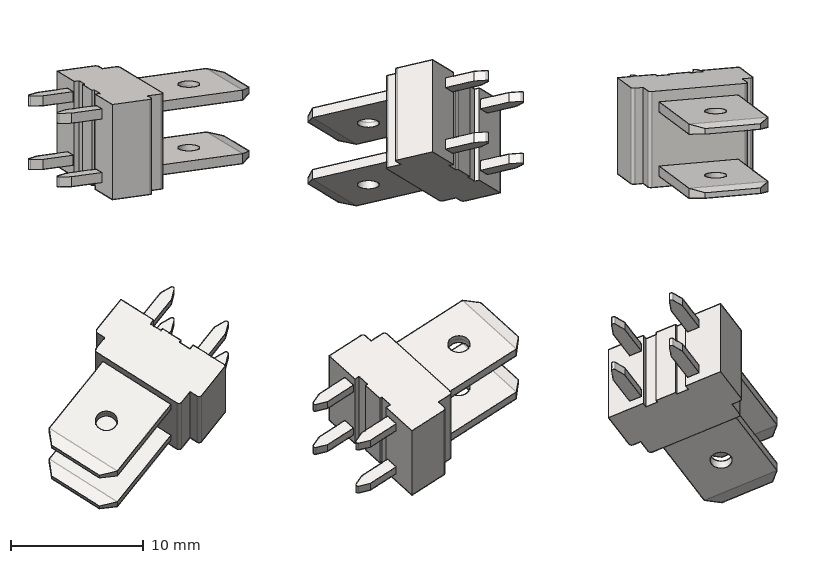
import cadquery as cq

base_width = 9.7
base_depth = 3.37
neck_width = 7.9
housing_depth = 4.73
housing_height = 7.5
corner_radius = 0.25

groove_width = 3.66
groove_depth = 0.4
rib_width = 1.7
rib_setback = 0.21

contact_pitch = 5.0
contact_thickness = 0.8
overall_length = 16.2
blade_width = 6.3
blade_end = 12.7
blade_tip_width = 4.4
blade_tip_length = 1.0
blade_tip_thickness = 0.44
hole_diameter = 1.65
hole_y = 8.7

pin_pitch = 5.0
pin_width = 1.0
pin_length = overall_length - blade_end
pin_taper_length = 0.95
pin_tip_width = 0.3
pin_tip_rounding = 0.1


def centred_block(width, y_start, y_end, height):
    """Box centred on X and Z that spans y_start to y_end."""
    depth = y_end - y_start
    return cq.Workplane("XY").box(width, depth, height).translate((0, (y_start + y_end) / 2, 0))


def make_housing():
    base = centred_block(base_width, 0, base_depth, housing_height)
    base = base.edges("|Z and >Y").fillet(corner_radius)
    neck = centred_block(neck_width, 0, housing_depth, housing_height)
    neck = neck.edges("|Z and >Y").fillet(corner_radius)
    groove = centred_block(groove_width, 0, groove_depth, housing_height)
    rib = centred_block(rib_width, rib_setback, groove_depth, housing_height)
    return base.union(neck).cut(groove).union(rib)


def make_blade():
    shoulder_y = blade_end - blade_tip_length
    start_y = housing_depth / 2
    outline = (
        cq.Workplane("XY")
        .moveTo(-blade_width / 2, start_y)
        .lineTo(-blade_width / 2, shoulder_y)
        .lineTo(-blade_tip_width / 2, blade_end)
        .lineTo(blade_tip_width / 2, blade_end)
        .lineTo(blade_width / 2, shoulder_y)
        .lineTo(blade_width / 2, start_y)
        .close()
        .extrude(contact_thickness / 2, both=True)
    )
    profile = (
        cq.Workplane("YZ")
        .moveTo(start_y, -contact_thickness / 2)
        .lineTo(shoulder_y, -contact_thickness / 2)
        .lineTo(blade_end, -blade_tip_thickness / 2)
        .lineTo(blade_end, blade_tip_thickness / 2)
        .lineTo(shoulder_y, contact_thickness / 2)
        .lineTo(start_y, contact_thickness / 2)
        .close()
        .extrude(blade_width / 2, both=True)
    )
    hole = (
        cq.Workplane("XY")
        .center(0, hole_y)
        .circle(hole_diameter / 2)
        .extrude(contact_thickness, both=True)
    )
    return outline.intersect(profile).cut(hole)


def make_pin(x):
    start_y = housing_depth / 2
    taper_y = pin_taper_length - pin_length
    round_y = pin_tip_rounding - pin_length
    pin = (
        cq.Workplane("XY")
        .moveTo(-pin_width / 2, start_y)
        .lineTo(-pin_width / 2, taper_y)
        .lineTo(-pin_tip_width / 2, round_y)
        .threePointArc((0, -pin_length), (pin_tip_width / 2, round_y))
        .lineTo(pin_width / 2, taper_y)
        .lineTo(pin_width / 2, start_y)
        .close()
        .extrude(contact_thickness / 2, both=True)
    )
    return pin.translate((x, 0, 0))


result = make_housing()
contact = make_blade()
for side in (-1, 1):
    contact = contact.union(make_pin(side * pin_pitch / 2))
for side in (-1, 1):
    result = result.union(contact.translate((0, 0, side * contact_pitch / 2)))